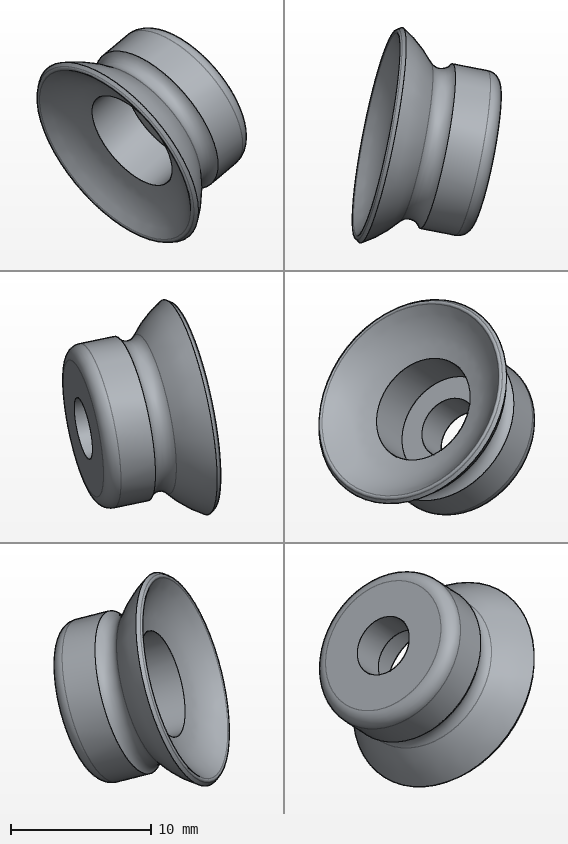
import cadquery as cq
import math

length = 8.0
rim_radius = 7.85
hub_radius = 6.0
hub_edge_fillet = 1.0

groove_radius = 1.0
groove_floor_radius = 5.5
groove_center_y = 3.55
flare_start_y = 2.81

flare_end_y = 0.38
lip_radius = 7.67
lip_y = 0.11
lip_crest_radius = 7.53
mouth_radius = 7.38
mouth_y = 0.06

bore_radius = 2.25
pocket_radius = 3.91
pocket_floor_y = 5.34
bowl_depth = 1.84

flare_bulge = 0.14
bowl_bulge = 0.3


def groove_radius_at(y):
    """Part radius on the groove arc at a given Y."""
    drop = math.sqrt(groove_radius**2 - (y - groove_center_y)**2)
    return groove_floor_radius + groove_radius - drop


def bowed_middle(start, end, bulge):
    """Middle of the chord from start to end, moved by bulge to the left of that direction."""
    dx = end[0] - start[0]
    dy = end[1] - start[1]
    chord = math.hypot(dx, dy)
    middle_x = (start[0] + end[0]) / 2 - bulge * dy / chord
    middle_y = (start[1] + end[1]) / 2 + bulge * dx / chord
    return (middle_x, middle_y)


groove_rise = groove_floor_radius + groove_radius - hub_radius
hub_start_y = groove_center_y + math.sqrt(groove_radius**2 - groove_rise**2)

bowl_bottom = (pocket_radius, bowl_depth)
mouth = (mouth_radius, mouth_y)
lip_crest = (lip_crest_radius, 0)
lip = (lip_radius, lip_y)
rim = (rim_radius, flare_end_y)
flare_start = (groove_radius_at(flare_start_y), flare_start_y)
fillet_start = (hub_radius, length - hub_edge_fillet)
fillet_end = (hub_radius - hub_edge_fillet, length)
fillet_offset = hub_edge_fillet * (1 - math.sqrt(0.5))
fillet_middle = (hub_radius - fillet_offset, length - fillet_offset)

profile = (
    cq.Workplane("XY")
    .moveTo(bore_radius, length)
    .lineTo(bore_radius, pocket_floor_y)
    .lineTo(pocket_radius, pocket_floor_y)
    .lineTo(*bowl_bottom)
    .threePointArc(bowed_middle(mouth, bowl_bottom, -bowl_bulge), mouth)
    .threePointArc(lip_crest, lip)
    .lineTo(*rim)
    .threePointArc(bowed_middle(rim, flare_start, -flare_bulge), flare_start)
    .threePointArc((groove_floor_radius, groove_center_y), (hub_radius, hub_start_y))
    .lineTo(*fillet_start)
    .threePointArc(fillet_middle, fillet_end)
    .close()
)

result = profile.revolve(360, (0, 0, 0), (0, 1, 0))